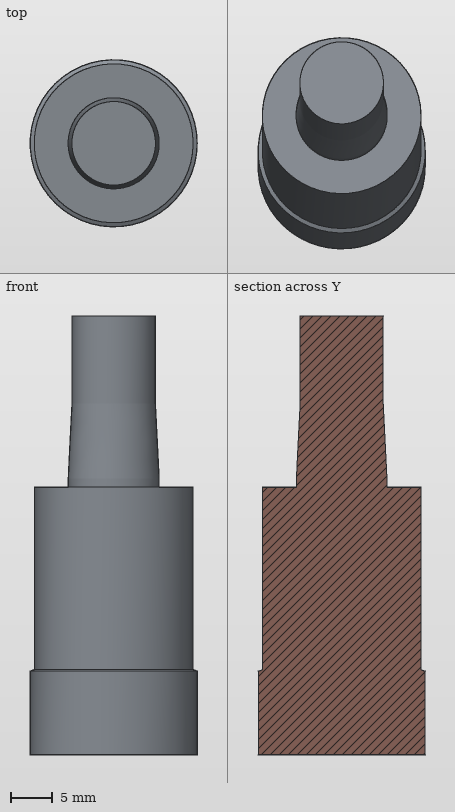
import cadquery as cq

base_diameter = 20.0
body_diameter = 19.0
collar_diameter = 10.9
pin_diameter = 10.0

base_height = 10.0
shoulder_height = 0.21
body_height = 21.79
collar_height = 1.0
taper_height = 9.0
pin_height = 10.5

base_top = base_height
shoulder_top = base_top + shoulder_height
body_top = shoulder_top + body_height
collar_top = body_top + collar_height
taper_top = collar_top + taper_height
pin_top = taper_top + pin_height


def stepped_pin():
    """Half profile of the stepped pin, turned about the Z axis."""
    base_radius = base_diameter / 2
    body_radius = body_diameter / 2
    collar_radius = collar_diameter / 2
    pin_radius = pin_diameter / 2
    return (
        cq.Workplane("XZ")
        .moveTo(0, 0)
        .lineTo(base_radius, 0)
        .lineTo(base_radius, base_top)
        .lineTo(body_radius, shoulder_top)
        .lineTo(body_radius, body_top)
        .lineTo(collar_radius, body_top)
        .lineTo(collar_radius, collar_top)
        .lineTo(pin_radius, taper_top)
        .lineTo(pin_radius, pin_top)
        .lineTo(0, pin_top)
        .close()
        .revolve(360, (0, 0, 0), (0, 1, 0))
    )


result = stepped_pin()